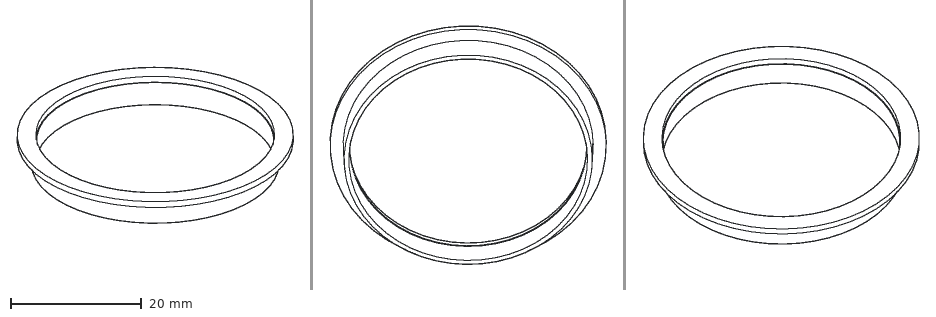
import cadquery as cq

flange_diameter = 42.2
flange_thickness = 1.0
flange_bore_diameter = 36.45

total_height = 5.0
skirt_top_diameter = 38.25
skirt_bottom_diameter = 37.95
skirt_bore_top_diameter = 36.2
skirt_bore_bottom_diameter = 36.45

skirt_height = total_height - flange_thickness

section = [
    (skirt_bore_bottom_diameter / 2, 0),
    (skirt_bottom_diameter / 2, 0),
    (skirt_top_diameter / 2, skirt_height),
    (flange_diameter / 2, skirt_height),
    (flange_diameter / 2, total_height),
    (flange_bore_diameter / 2, total_height),
    (flange_bore_diameter / 2, skirt_height),
    (skirt_bore_top_diameter / 2, skirt_height),
]

result = cq.Workplane("XZ").polyline(section).close().revolve(360, (0, 0, 0), (0, 1, 0))